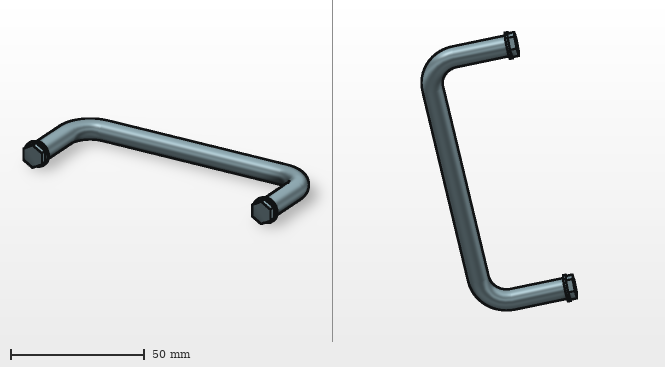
import cadquery as cq
import math

leg_spacing = 100.0
rod_diameter = 8.0
handle_height = 35.0
bend_radius = 10.75
washer_diameter = 10.0
washer_thickness = 1.0
head_across_flats = 8.0
head_height = 2.49

leg_x = leg_spacing / 2
grip_y = handle_height - rod_diameter / 2
head_across_corners = head_across_flats / math.cos(math.radians(30))


def make_rod():
    """U-shaped round rod: two legs along Y joined by a grip along X."""
    straight_leg_end = grip_y - bend_radius
    straight_grip_end = leg_x - bend_radius
    diagonal_inset = bend_radius * (1 - math.sin(math.radians(45)))
    bend_mid_x = leg_x - diagonal_inset
    bend_mid_y = grip_y - diagonal_inset
    centreline = (
        cq.Workplane("XY")
        .moveTo(-leg_x, 0)
        .lineTo(-leg_x, straight_leg_end)
        .threePointArc((-bend_mid_x, bend_mid_y), (-straight_grip_end, grip_y))
        .lineTo(straight_grip_end, grip_y)
        .threePointArc((bend_mid_x, bend_mid_y), (leg_x, straight_leg_end))
        .lineTo(leg_x, 0)
    )
    leg_section = cq.Workplane("XZ", origin=(-leg_x, 0, 0)).circle(rod_diameter / 2)
    return leg_section.sweep(centreline)


def make_foot(x):
    """Washer and hexagon head closing the leg at x, with head corners up and down."""
    washer = (
        cq.Workplane("XZ", origin=(x, 0, 0))
        .circle(washer_diameter / 2)
        .extrude(washer_thickness)
    )
    head = (
        cq.Workplane("XZ", origin=(x, -washer_thickness, 0))
        .transformed(rotate=(0, 0, 90))
        .polygon(6, head_across_corners)
        .extrude(head_height)
    )
    return washer.union(head)


result = make_rod()
for foot_x in (-leg_x, leg_x):
    result = result.union(make_foot(foot_x))